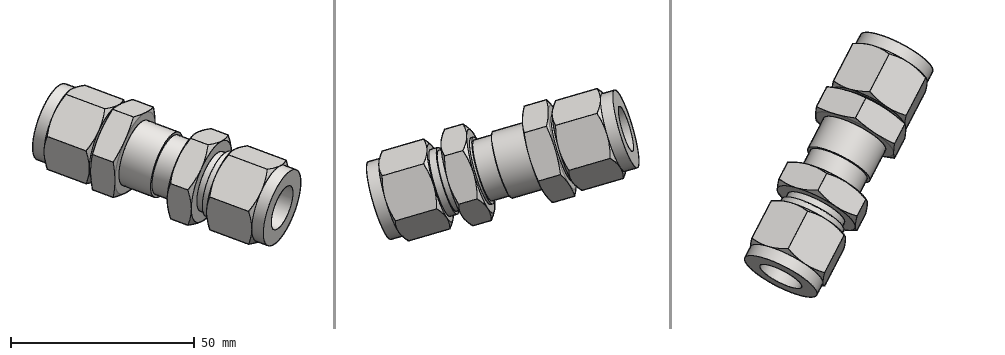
import cadquery as cq
import math

LENGTH = 71.1

NUT_FLATS = 22.2
NUT_WIDTH = 13.95
COLLAR_WIDTH = 3.55
NUT_DEPTH = COLLAR_WIDTH + NUT_WIDTH
NUT_BEVEL = 30.0

HEX_FLATS = 23.8
HEX_WIDTH = 7.5
BODY_HEX_START = 18.35
BODY_HEX_BEVEL = 16.0
LOCKNUT_START = 41.9
LOCKNUT_BEVEL = 30.0
LOCKNUT_RIM = 0.65

BODY_DIAMETER = 19.05
THREAD_DIAMETER = 17.4
BODY_END = LENGTH / 2
NECK_START = 51.5

BORE_DIAMETER = 10.5
SOCKET_DIAMETER = 12.8
SOCKET_DEPTH = NUT_DEPTH


def cylinder(start, end, diameter):
    """Solid cylinder on the X axis between two stations."""
    return cq.Workplane("YZ", origin=(start, 0, 0)).circle(diameter / 2).extrude(end - start)


def beveled_hexagon(start, width, flats, bevel_angle):
    """Hexagon with corners up and down, its corners coned down to the flats at both ends."""
    flat_radius = flats / 2
    corner_radius = flat_radius / math.cos(math.radians(30))
    bevel_width = (corner_radius - flat_radius) * math.tan(math.radians(bevel_angle))
    end = start + width
    prism = (
        cq.Workplane("YZ", origin=(start, 0, 0))
        .polygon(6, 2 * corner_radius)
        .extrude(width)
        .rotate((0, 0, 0), (1, 0, 0), 90)
    )
    envelope = (
        cq.Workplane("XY")
        .moveTo(start, 0)
        .lineTo(start, flat_radius)
        .lineTo(start + bevel_width, corner_radius)
        .lineTo(end - bevel_width, corner_radius)
        .lineTo(end, flat_radius)
        .lineTo(end, 0)
        .close()
        .revolve(360, (0, 0, 0), (1, 0, 0))
    )
    return prism.intersect(envelope)


def tube_nut():
    """Left tube nut with its collar."""
    collar = cylinder(0, COLLAR_WIDTH, NUT_FLATS)
    return collar.union(beveled_hexagon(COLLAR_WIDTH, NUT_WIDTH, NUT_FLATS, NUT_BEVEL))


right_nut_start = LENGTH - NUT_DEPTH
body = cylinder(NUT_DEPTH, BODY_END, BODY_DIAMETER)
body = body.union(cylinder(BODY_END, NECK_START, THREAD_DIAMETER))
body = body.union(cylinder(NECK_START, right_nut_start, BODY_DIAMETER))
body = body.union(beveled_hexagon(BODY_HEX_START, HEX_WIDTH, HEX_FLATS, BODY_HEX_BEVEL))

locknut = beveled_hexagon(LOCKNUT_START, HEX_WIDTH, HEX_FLATS, LOCKNUT_BEVEL)
locknut = locknut.union(cylinder(LOCKNUT_START - LOCKNUT_RIM, LOCKNUT_START, BODY_DIAMETER))

left_nut = tube_nut()
right_nut = left_nut.mirror("YZ").translate((LENGTH, 0, 0))
result = body.union(locknut).union(left_nut).union(right_nut)

result = result.cut(cylinder(0, LENGTH, BORE_DIAMETER))
result = result.cut(cylinder(0, SOCKET_DEPTH, SOCKET_DIAMETER))
result = result.cut(cylinder(LENGTH - SOCKET_DEPTH, LENGTH, SOCKET_DIAMETER))